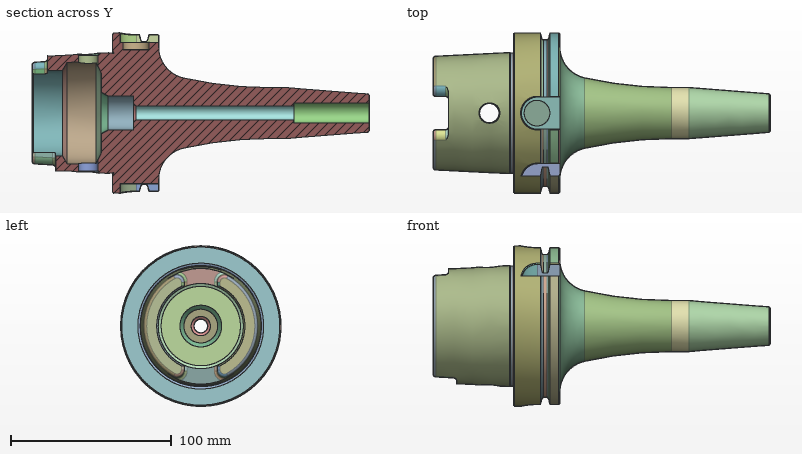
import cadquery as cq
import math


SHANK_LENGTH = 50.0
SHANK_GAUGE_RADIUS = 75.52 / 2
SHANK_GAUGE_X = -2.4
SHANK_TAPER = 1.0 / 20
RELIEF_RADIUS = 37.55
RELIEF_START_X = -1.8
UNDERCUT_START_X = -0.3
UNDERCUT_DEPTH = 0.8
UNDERCUT_RADIUS = 37.2
UNDERCUT_MOUTH_RADIUS = 39.2

BORE_RADIUS = 53.0 / 2
BORE_CHAMFER = 1.0
BORE_LAND_LENGTH = 19.0
CLAMP_RADIUS = 63.0 / 2
CLAMP_SHOULDER_ANGLE = 60.0
BORE_FLOOR_X = -7.0
BORE_FLOOR_RADIUS = 24.7
BORE_FLOOR_TILT = 25.0

COOLANT_MOUTH_RADIUS = 26.0 / 2
COOLANT_RADIUS = 21.0 / 2
COOLANT_MOUTH_ANGLE = 30.0
COOLANT_DEPTH = 20.0
SCREW_MOUTH_RADIUS = 12.0 / 2
SCREW_CORE_RADIUS = 8.38 / 2
TOOL_RADIUS = 12.0 / 2
TOOL_DEPTH = 47.0

DRIVE_SLOT_WIDTH = 20.5
DRIVE_SLOT_CORNER_FILLET = 4.5
DRIVE_SLOT_ROOT_FILLET = 1.8
SHANK_END_FILLET = 1.8
TOP_DRIVE_SLOT_DEPTH = 9.6
BOTTOM_DRIVE_SLOT_DEPTH = 14.6
CROSS_HOLE_X = -15.0
CROSS_HOLE_DIAMETER = 12.0
CROSS_HOLE_MOUTH_DIAMETER = 13.2
COUNTERSINK_SLOPE = 2.0

FLANGE_RADIUS = 100.0 / 2
FLANGE_WIDTH = 29.0
FLANGE_CHAMFER = 0.8
GROOVE_X = 19.8
GROOVE_BOTTOM_RADIUS = 45.7
GROOVE_BOTTOM_WIDTH = 3.6
GROOVE_FLANK_ANGLE = 16.0
GROOVE_FILLET = 1.0

POCKET_WIDTH = 20.0
POCKET_EDGE_CHAMFER = 0.5
POCKET_CENTRE_X = 15.0
POCKET_FLOOR_Z = 44.0
CHIP_HOLE_DIAMETER = 16.0
CHIP_HOLE_DEPTH = 4.5
CHIP_HOLE_X = 14.7
NOTCH_WALL_Y = -31.5
NOTCH_FLOOR_Z = 31.2

NOSE_X = 160.0
NOSE_RADIUS = 24.0 / 2
NOSE_CHAMFER = 1.0
NOSE_TAPER_ANGLE = 4.5
COLLAR_RADIUS = 32.0 / 2
COLLAR_START_X = 98.5
NECK_BLEND_X = 44.3
NECK_BLEND_RADIUS = 22.0

PICK_MARGIN = 0.1


def tan_degrees(angle):
    return math.tan(math.radians(angle))


def distance_from_axis(point):
    return math.hypot(point.y, point.z)


def revolve_about_x(outline):
    return outline.close().revolve(360, (0, 0, 0), (1, 0, 0))


def taper_radius(x):
    return SHANK_GAUGE_RADIUS - SHANK_TAPER * (SHANK_GAUGE_X - x)


def edges_between(body, low, high):
    """Edges whose centres lie in the box between the two corners."""
    return body.edges(cq.selectors.BoxSelector(low, high))


def outer_body():
    groove_depth = FLANGE_RADIUS - GROOVE_BOTTOM_RADIUS
    groove_bottom_half = GROOVE_BOTTOM_WIDTH / 2
    groove_mouth_half = groove_bottom_half + groove_depth * tan_degrees(GROOVE_FLANK_ANGLE)
    collar_end_x = NOSE_X - (COLLAR_RADIUS - NOSE_RADIUS) / tan_degrees(NOSE_TAPER_ANGLE)
    nose_edge_radius = NOSE_RADIUS + NOSE_CHAMFER * tan_degrees(NOSE_TAPER_ANGLE)

    run = COLLAR_START_X - NECK_BLEND_X
    rise = NECK_BLEND_RADIUS - COLLAR_RADIUS
    long_radius = (run ** 2 + rise ** 2) / (2 * rise)
    slope = math.asin(run / long_radius)
    short_radius = (NECK_BLEND_X - FLANGE_WIDTH) / (1 - math.sin(slope))
    short_centre_x = FLANGE_WIDTH + short_radius
    short_centre_r = NECK_BLEND_RADIUS + short_radius * math.cos(slope)
    short_mid_angle = (math.pi + 3 * math.pi / 2 - slope) / 2
    short_middle = (short_centre_x + short_radius * math.cos(short_mid_angle),
                    short_centre_r + short_radius * math.sin(short_mid_angle))
    long_middle = (COLLAR_START_X - long_radius * math.sin(slope / 2),
                   COLLAR_RADIUS + long_radius * (1 - math.cos(slope / 2)))

    outline = (
        cq.Workplane("XY")
        .moveTo(-SHANK_LENGTH, 0)
        .lineTo(-SHANK_LENGTH, taper_radius(-SHANK_LENGTH))
        .lineTo(SHANK_GAUGE_X, SHANK_GAUGE_RADIUS)
        .lineTo(RELIEF_START_X, RELIEF_RADIUS)
        .lineTo(UNDERCUT_START_X, RELIEF_RADIUS)
        .lineTo(UNDERCUT_DEPTH, UNDERCUT_RADIUS)
        .lineTo(0, UNDERCUT_MOUTH_RADIUS)
        .lineTo(0, FLANGE_RADIUS - FLANGE_CHAMFER)
        .lineTo(FLANGE_CHAMFER, FLANGE_RADIUS)
        .lineTo(GROOVE_X - groove_mouth_half, FLANGE_RADIUS)
        .lineTo(GROOVE_X - groove_bottom_half, GROOVE_BOTTOM_RADIUS)
        .lineTo(GROOVE_X + groove_bottom_half, GROOVE_BOTTOM_RADIUS)
        .lineTo(GROOVE_X + groove_mouth_half, FLANGE_RADIUS)
        .lineTo(FLANGE_WIDTH - FLANGE_CHAMFER, FLANGE_RADIUS)
        .lineTo(FLANGE_WIDTH, FLANGE_RADIUS - FLANGE_CHAMFER)
        .lineTo(FLANGE_WIDTH, short_centre_r)
        .threePointArc(short_middle, (NECK_BLEND_X, NECK_BLEND_RADIUS))
        .threePointArc(long_middle, (COLLAR_START_X, COLLAR_RADIUS))
        .lineTo(collar_end_x, COLLAR_RADIUS)
        .lineTo(NOSE_X - NOSE_CHAMFER, nose_edge_radius)
        .lineTo(NOSE_X, NOSE_RADIUS - NOSE_CHAMFER)
        .lineTo(NOSE_X, 0)
    )
    body = revolve_about_x(outline)
    groove_corners = edges_between(
        body,
        (GROOVE_X - groove_bottom_half - PICK_MARGIN, -PICK_MARGIN, -PICK_MARGIN),
        (GROOVE_X + groove_bottom_half + PICK_MARGIN, PICK_MARGIN, PICK_MARGIN),
    )
    return groove_corners.fillet(GROOVE_FILLET)


def drive_slot(side, depth):
    """Plain slot from the shank end, through the shank wall on the +Z (side = 1) or -Z (side = -1) half."""
    height = SHANK_GAUGE_RADIUS
    base = cq.Workplane("XY", origin=(-SHANK_LENGTH + depth / 2, 0, side * height / 2))
    return base.box(depth, DRIVE_SLOT_WIDTH, height)


def is_wall_edge(edge):
    """True for slot root edges along a side wall or its rounded corner, not along the bore or the taper."""
    centre = edge.Center()
    inside_taper = distance_from_axis(centre) < taper_radius(-SHANK_LENGTH) - PICK_MARGIN
    return inside_taper and abs(centre.y) > DRIVE_SLOT_WIDTH / 2 - PICK_MARGIN


def is_outer_rim_edge(edge):
    """True for edges of the shank end face other than its bore edge."""
    return edge.geomType() != "CIRCLE" or edge.radius() > BORE_RADIUS + PICK_MARGIN


def is_flange_rim_edge(edge):
    """True for edges with both ends on the flange's outer cylinder."""
    nearest_end = min(distance_from_axis(edge.startPoint()), distance_from_axis(edge.endPoint()))
    return nearest_end > FLANGE_RADIUS - PICK_MARGIN


def add_drive_slots(body):
    """Cut both drive slots, then round their outer corners, their roots and the rim of the shank end."""
    half_width = DRIVE_SLOT_WIDTH / 2
    for side, depth in ((1, TOP_DRIVE_SLOT_DEPTH), (-1, BOTTOM_DRIVE_SLOT_DEPTH)):
        body = body.cut(drive_slot(side, depth))
        root_x = depth - SHANK_LENGTH
        inner_z = side * BORE_RADIUS
        outer_z = side * (SHANK_GAUGE_RADIUS + PICK_MARGIN)
        for wall_y in (-half_width, half_width):
            corner = edges_between(
                body,
                (-SHANK_LENGTH + PICK_MARGIN, wall_y - PICK_MARGIN, inner_z),
                (root_x - PICK_MARGIN, wall_y + PICK_MARGIN, outer_z),
            )
            body = corner.fillet(DRIVE_SLOT_CORNER_FILLET)
        root_outline = body.faces(cq.selectors.BoxSelector(
            (root_x - PICK_MARGIN, -FLANGE_RADIUS, -FLANGE_RADIUS),
            (root_x + PICK_MARGIN, FLANGE_RADIUS, FLANGE_RADIUS),
        )).edges()
        body = root_outline.filter(is_wall_edge).fillet(DRIVE_SLOT_ROOT_FILLET)
    rim = body.faces("<X").edges()
    return rim.filter(is_outer_rim_edge).fillet(SHANK_END_FILLET)


def bore_land():
    return cq.Workplane("YZ", origin=(-SHANK_LENGTH, 0, 0)).circle(BORE_RADIUS).extrude(BORE_LAND_LENGTH)


def clamping_bore():
    land_end_x = BORE_LAND_LENGTH - SHANK_LENGTH
    shoulder_length = (CLAMP_RADIUS - BORE_RADIUS) / tan_degrees(CLAMP_SHOULDER_ANGLE)
    floor_rim_length = (CLAMP_RADIUS - BORE_FLOOR_RADIUS) * tan_degrees(BORE_FLOOR_TILT)
    outline = (
        cq.Workplane("XY")
        .moveTo(-SHANK_LENGTH, 0)
        .lineTo(-SHANK_LENGTH, BORE_RADIUS + BORE_CHAMFER)
        .lineTo(-SHANK_LENGTH + BORE_CHAMFER, BORE_RADIUS)
        .lineTo(land_end_x, BORE_RADIUS)
        .lineTo(land_end_x + shoulder_length, CLAMP_RADIUS)
        .lineTo(BORE_FLOOR_X - floor_rim_length, CLAMP_RADIUS)
        .lineTo(BORE_FLOOR_X, BORE_FLOOR_RADIUS)
        .lineTo(BORE_FLOOR_X, 0)
    )
    return revolve_about_x(outline)


def axial_passage():
    coolant_mouth_length = (COOLANT_MOUTH_RADIUS - COOLANT_RADIUS) / tan_degrees(COOLANT_MOUTH_ANGLE)
    coolant_floor_x = BORE_FLOOR_X + COOLANT_DEPTH
    tool_floor_x = NOSE_X - TOOL_DEPTH
    outline = (
        cq.Workplane("XY")
        .moveTo(BORE_FLOOR_X, 0)
        .lineTo(BORE_FLOOR_X, COOLANT_MOUTH_RADIUS)
        .lineTo(BORE_FLOOR_X + coolant_mouth_length, COOLANT_RADIUS)
        .lineTo(coolant_floor_x, COOLANT_RADIUS)
        .lineTo(coolant_floor_x, SCREW_MOUTH_RADIUS)
        .lineTo(coolant_floor_x + SCREW_MOUTH_RADIUS - SCREW_CORE_RADIUS, SCREW_CORE_RADIUS)
        .lineTo(tool_floor_x, SCREW_CORE_RADIUS)
        .lineTo(tool_floor_x, TOOL_RADIUS)
        .lineTo(NOSE_X, TOOL_RADIUS)
        .lineTo(NOSE_X, 0)
    )
    return revolve_about_x(outline)


def cross_hole():
    """Hole through both shank walls along Z, with a small countersink at each mouth."""
    hole_radius = CROSS_HOLE_DIAMETER / 2
    mouth_radius = CROSS_HOLE_MOUTH_DIAMETER / 2
    mouth_z = taper_radius(CROSS_HOLE_X)
    sink_z = mouth_z - COUNTERSINK_SLOPE * (mouth_radius - hole_radius)
    outline = (
        cq.Workplane("XZ", origin=(CROSS_HOLE_X, 0, 0))
        .moveTo(0, -FLANGE_RADIUS)
        .lineTo(mouth_radius, -FLANGE_RADIUS)
        .lineTo(mouth_radius, -mouth_z)
        .lineTo(hole_radius, -sink_z)
        .lineTo(hole_radius, sink_z)
        .lineTo(mouth_radius, mouth_z)
        .lineTo(mouth_radius, FLANGE_RADIUS)
        .lineTo(0, FLANGE_RADIUS)
    )
    return outline.close().revolve(360, (0, 0, 0), (0, 1, 0))


def flange_pocket(centre_y, floor_z):
    """Round-ended pocket, open towards the neck and upwards from floor_z."""
    height = FLANGE_RADIUS - floor_z
    base = cq.Workplane("XY", origin=(POCKET_CENTRE_X, centre_y, floor_z))
    length = FLANGE_WIDTH - POCKET_CENTRE_X
    straight = base.rect(length, POCKET_WIDTH).extrude(height).translate((length / 2, 0, 0))
    return base.circle(POCKET_WIDTH / 2).extrude(height).union(straight)


def chip_hole():
    base = cq.Workplane("XY", origin=(CHIP_HOLE_X, 0, POCKET_FLOOR_Z - CHIP_HOLE_DEPTH))
    return base.circle(CHIP_HOLE_DIAMETER / 2).extrude(CHIP_HOLE_DEPTH)


def add_flange_pockets(body):
    """Driving pockets on +Z and -Z and the corner notch on -Y, with their wall edges chamfered at the rim."""
    half_width = POCKET_WIDTH / 2
    front_x = POCKET_CENTRE_X - half_width - PICK_MARGIN
    back_x = FLANGE_WIDTH - FLANGE_CHAMFER - PICK_MARGIN
    rim_z = math.sqrt(FLANGE_RADIUS ** 2 - half_width ** 2) - PICK_MARGIN
    notch_rim_y = -math.sqrt(FLANGE_RADIUS ** 2 - NOTCH_FLOOR_Z ** 2)
    notch_rim_z = math.sqrt(FLANGE_RADIUS ** 2 - NOTCH_WALL_Y ** 2)

    pocket = flange_pocket(0, POCKET_FLOOR_Z)
    body = body.cut(pocket).cut(pocket.mirror("XY"))
    body = body.cut(flange_pocket(NOTCH_WALL_Y - half_width, NOTCH_FLOOR_Z))
    for low_z, high_z in ((rim_z, FLANGE_RADIUS), (-FLANGE_RADIUS, -rim_z)):
        rim = edges_between(
            body,
            (front_x, -half_width - PICK_MARGIN, low_z),
            (back_x, half_width + PICK_MARGIN, high_z),
        )
        body = rim.chamfer(POCKET_EDGE_CHAMFER)
    notch_rim = edges_between(
        body,
        (front_x, notch_rim_y + PICK_MARGIN, NOTCH_FLOOR_Z + PICK_MARGIN),
        (back_x, NOTCH_WALL_Y + PICK_MARGIN, notch_rim_z + PICK_MARGIN),
    )
    body = notch_rim.filter(is_flange_rim_edge).chamfer(POCKET_EDGE_CHAMFER)
    return body.cut(chip_hole())


def holder():
    body = outer_body().cut(bore_land())
    body = add_drive_slots(body)
    body = body.cut(clamping_bore())
    body = body.cut(axial_passage())
    body = body.cut(cross_hole())
    return add_flange_pockets(body)


result = holder()